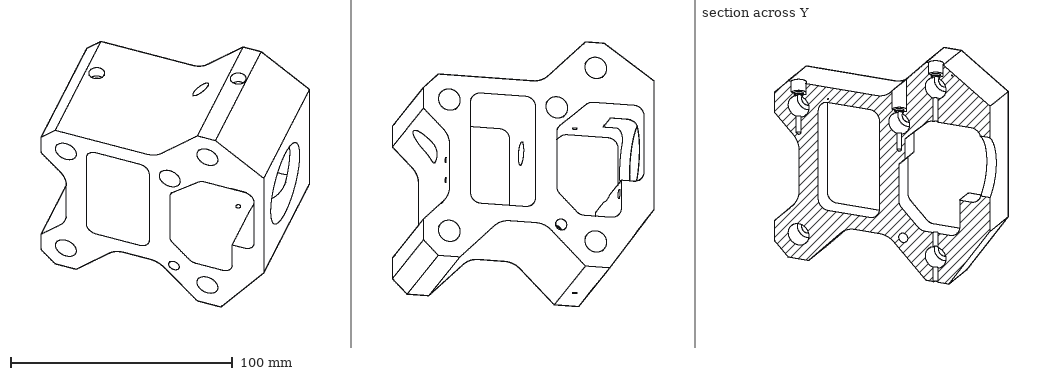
import cadquery as cq
import math

length = 107.0
depth = 60.0
height = 106.0

lobe_chamfer = 6.8
arm_top = 85.8
notch_x = 12.1
left_lower_top = 16.7
left_upper_bottom = 69.1
bottom_notch_z = 18.8
bottom_left_end = 16.9
right_lobe_start = 75.1
bottom_right_end = 86.5
top_right_end = 83.8
right_face_bottom = 29.1
right_face_top = 89.9
notch_radius = 10.0

pocket_depth = 50.0
pocket_radius = 4.7
left_pocket_x = (21.8, 52.0)
left_pocket_z = (26.1, 78.2)
pocket_left = 61.8
pocket_right = 102.3
pocket_top = 77.7
pocket_bottom = 24.0
pocket_corner_cut = 10.7
slant_start_z = 64.3
slant_end_x = 76.8
ledge_x = 91.8
ledge_top = 41.8

boss_front = 35.0
boss_thickness = 3.0
boss_bottom = 54.2
boss_top = 70.6

bolt_diameter = 5.8
bolt_bore_diameter = 10.1
bolt_bore_depth = 50.0
bolt_x_left = 12.0
bolt_x_middle = 61.8
bolt_x_right = 79.9
bolt_z_low = 12.0
bolt_z_arm = 74.0
bolt_z_high = 94.0

dowel_x = 63.9
dowel_z = 18.8
dowel_diameter = 4.3
dowel_bore_diameter = 5.1
dowel_bore_depth = 10.0

screw_y = 40.4
screw_head_diameter = 7.1
screw_head_above_bolt = 6.4
screw_diameter = 4.3
screw_neck_diameter = 3.4
screw_neck_above_bolt = 5.6
screw_pilot_diameter = 2.1
screw_pilot_below_bolt = 12.8
drill_half_angle = 59.0

cross_y = 28.0
cross_z = 60.0
cross_diameter = 10.5
cross_bore_diameter = 14.0
cross_bore_end = 16.0
window_diameter = 38.0

pin_y = 7.6
pin_zs = (38.3, 47.8)
pin_diameter = 2.1
pin_depth = 5.4
ledge_hole_y = 4.6
ledge_hole_z = 36.7
ledge_hole_diameter = 4.0
ledge_hole_depth = 6.4

corner_margin = 0.1


def cylinder_x(diameter, start, end, y, z):
    return cq.Workplane("YZ", origin=(start, y, z)).circle(diameter / 2).extrude(end - start)


def cylinder_y(diameter, start, end, x, z):
    return cq.Workplane("XZ", origin=(x, start, z)).circle(diameter / 2).extrude(start - end)


def cylinder_z(diameter, start, end, x, y):
    return cq.Workplane("XY", origin=(x, y, start)).circle(diameter / 2).extrude(end - start)


def drill_tip(diameter):
    """Cone left by a drill, opening at z = 0 and pointing down."""
    tip = diameter / 2 / math.tan(math.radians(drill_half_angle))
    outline = cq.Workplane("XZ").polyline([(0, 0), (diameter / 2, 0), (0, -tip)]).close()
    return outline.revolve(360, (0, 0), (0, 1))


def fillet_edges_at(solid, points, radius):
    """Round the Y-direction edges that pass through the given (x, z) points."""
    for x, z in points:
        low = (x - corner_margin, 0, z - corner_margin)
        high = (x + corner_margin, depth, z + corner_margin)
        box = cq.selectors.BoxSelector(low, high)
        solid = solid.edges(box).edges("|Y").fillet(radius)
    return solid


def block():
    notch_corners = [
        (notch_x, left_lower_top + notch_x),
        (notch_x, left_upper_bottom - notch_x),
        (right_lobe_start - (height - arm_top), arm_top),
        (right_lobe_start - bottom_notch_z, bottom_notch_z),
        (bottom_left_end + bottom_notch_z, bottom_notch_z),
    ]
    left_low, left_high, top, bottom_right, bottom_left = notch_corners
    outline = [
        (0, lobe_chamfer), (0, left_lower_top), left_low, left_high,
        (0, left_upper_bottom), (0, arm_top - lobe_chamfer), (lobe_chamfer, arm_top), top,
        (right_lobe_start, height), (top_right_end, height),
        (length, right_face_top), (length, right_face_bottom),
        (bottom_right_end, 0), (right_lobe_start, 0), bottom_right, bottom_left,
        (bottom_left_end, 0), (lobe_chamfer, 0),
    ]
    solid = cq.Workplane("XZ").polyline(outline).close().extrude(-depth)
    return fillet_edges_at(solid, notch_corners, notch_radius)


def left_pocket():
    x0, x1 = left_pocket_x
    z0, z1 = left_pocket_z
    pocket = cq.Workplane("XY").box(x1 - x0, pocket_depth, z1 - z0, centered=False)
    return pocket.edges("|Y").fillet(pocket_radius).translate((x0, 0, z0))


def right_pocket():
    low_left = (pocket_left, pocket_bottom + pocket_corner_cut)
    slant_start = (pocket_left, slant_start_z)
    slant_end = (slant_end_x, pocket_top)
    top_right = (pocket_right, pocket_top)
    ledge_inner = (pocket_right, ledge_top)
    ledge_edge = (ledge_x, ledge_top)
    low_right = (ledge_x, pocket_bottom)
    low_middle = (pocket_left + pocket_corner_cut, pocket_bottom)
    outline = [
        low_left, slant_start, slant_end, top_right,
        ledge_inner, ledge_edge, low_right, low_middle,
    ]
    pocket = cq.Workplane("XZ").polyline(outline).close().extrude(-pocket_depth)
    rounded = [corner for corner in outline if corner != ledge_edge]
    return fillet_edges_at(pocket, rounded, pocket_radius).cut(pocket_boss())


def pocket_boss():
    outline = [
        (pocket_left - boss_thickness, boss_bottom), (pocket_left, boss_bottom),
        (pocket_left + boss_thickness, boss_bottom + boss_thickness),
        (pocket_left + boss_thickness, boss_top), (pocket_left - boss_thickness, boss_top),
    ]
    plane = cq.Workplane("XZ", origin=(0, boss_front, 0))
    return plane.polyline(outline).close().extrude(boss_front - depth)


def bolt_hole(x, z):
    hole = cylinder_y(bolt_diameter, 0, depth, x, z)
    return hole.union(cylinder_y(bolt_bore_diameter, 0, bolt_bore_depth, x, z))


def dowel_hole():
    hole = cylinder_y(dowel_diameter, 0, depth, dowel_x, dowel_z)
    return hole.union(cylinder_y(dowel_bore_diameter, 0, dowel_bore_depth, dowel_x, dowel_z))


def screw_hole(x, bolt_z, through):
    seat = bolt_z + screw_head_above_bolt
    neck = bolt_z + screw_neck_above_bolt
    pilot_end = 0 if through else bolt_z - screw_pilot_below_bolt
    hole = cylinder_z(screw_head_diameter, seat, height, x, screw_y)
    hole = hole.union(cylinder_z(screw_diameter, neck, seat, x, screw_y))
    hole = hole.union(cylinder_z(screw_neck_diameter, bolt_z, neck, x, screw_y))
    hole = hole.union(cylinder_z(screw_pilot_diameter, pilot_end, bolt_z, x, screw_y))
    if not through:
        hole = hole.union(drill_tip(screw_pilot_diameter).translate((x, screw_y, pilot_end)))
    return hole


def cross_hole():
    hole = cylinder_x(cross_diameter, 0, length, cross_y, cross_z)
    hole = hole.union(cylinder_x(cross_bore_diameter, 0, cross_bore_end, cross_y, cross_z))
    return hole.union(cylinder_x(window_diameter, ledge_x, length, cross_y, cross_z))


def pin_hole(z):
    hole = cylinder_x(pin_diameter, 0, notch_x + pin_depth, pin_y, z)
    tip = drill_tip(pin_diameter).rotate((0, 0, 0), (0, 1, 0), -90)
    return hole.union(tip.translate((notch_x + pin_depth, pin_y, z)))


result = block().cut(left_pocket()).cut(right_pocket())

arm_bolts = [(bolt_x_left, bolt_z_arm), (bolt_x_middle, bolt_z_arm)]
high_bolt = (bolt_x_right, bolt_z_high)
low_bolts = [(bolt_x_left, bolt_z_low), (bolt_x_right, bolt_z_low)]
for bolt_x, bolt_z in arm_bolts + [high_bolt] + low_bolts:
    result = result.cut(bolt_hole(bolt_x, bolt_z))

for bolt_x, bolt_z in arm_bolts:
    result = result.cut(screw_hole(bolt_x, bolt_z, through=False))
result = result.cut(screw_hole(*high_bolt, through=True))

result = result.cut(dowel_hole()).cut(cross_hole())
for pin_z in pin_zs:
    result = result.cut(pin_hole(pin_z))
ledge_hole_end = ledge_x + ledge_hole_depth
result = result.cut(cylinder_x(ledge_hole_diameter, ledge_x, ledge_hole_end, ledge_hole_y, ledge_hole_z))